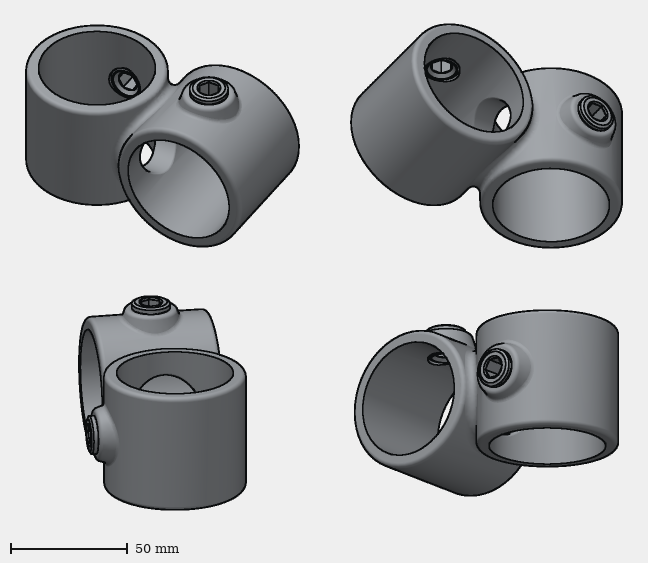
import cadquery as cq
import math

overall_length = 116.5
outer_radius = 30.5
bore_radius = 25.0
socket_length = 52.0
end_round = 2.0
joint_round = 2.9
axis_offset = overall_length / 2 - outer_radius

window_radius = 15.1
upright_mouth_round = 1.2
level_mouth_round = 0.8
fit_tolerance = 0.01

boss_top_height = 35.0
boss_top_radius = 11.1
boss_base_height = 25.6
boss_base_radius = 14.1
boss_top_round = 2.0
boss_base_round = 2.0

head_radius = 8.3
shank_radius = 7.8
screw_top_height = 37.6
screw_bottom_height = 24.8
head_chamfer_width = 1.3
head_chamfer_height = 0.7
tip_chamfer_width = 1.0
tip_chamfer_height = 0.7
hex_across_flats = 8.0
hex_lead_in_radius = 5.0
hex_lead_in_depth = 0.7
cup_rim_radius = 6.3
cup_floor_radius = 4.7
cup_depth = 1.7


def place_level(shape):
    """Move a shape built on a Y axis through the origin to the level socket."""
    return shape.translate((axis_offset, 0, 0))


def place_upright(shape):
    """Turn a shape built on a Y axis through the origin onto the upright socket."""
    return shape.rotate((0, 0, 0), (1, 0, 0), -90).translate((-axis_offset, 0, 0))


PLACEMENTS = (place_level, place_upright)


def y_cylinder(radius):
    return cq.Workplane("XZ").circle(radius).extrude(socket_length / 2, both=True)


def z_cylinder(radius, bottom, top):
    return cq.Workplane("XY").workplane(offset=bottom).circle(radius).extrude(top - bottom)


def z_cone(start_radius, start_height, end_radius, end_height):
    """Truncated cone about Z between two heights."""
    return (
        cq.Workplane("XY")
        .workplane(offset=start_height)
        .circle(start_radius)
        .workplane(offset=end_height - start_height)
        .circle(end_radius)
        .loft(ruled=True)
    )


def joined_sockets():
    """Both socket barrels, blended where they cross and rounded at their ends."""
    barrel = y_cylinder(outer_radius)
    body = place_level(barrel).union(place_upright(barrel))
    body = body.edges("%BSPLINE").fillet(joint_round)
    end_edges = [edge for edge in body.edges("%CIRCLE").vals() if edge.radius() > bore_radius]
    return body.newObject(end_edges).fillet(end_round)


def tapered_boss():
    """Cone that starts inside the socket wall and ends in a rounded flat top."""
    slope = (boss_base_radius - boss_top_radius) / (boss_top_height - boss_base_height)
    root_height = bore_radius / 2
    root_radius = boss_top_radius + slope * (boss_top_height - root_height)
    boss = z_cone(root_radius, root_height, boss_top_radius, boss_top_height)
    return boss.faces(">Z").edges().fillet(boss_top_round)


def borders_window(edge):
    """True if every sampled point of the edge lies on the window's cylinder."""
    points = edge.positions([0, 0.3, 0.7, 1])
    return all(abs(math.hypot(point.y, point.z) - window_radius) < fit_tolerance for point in points)


def build_housing():
    """Joined sockets with bosses, bores, the opening between the bores and screw holes."""
    body = joined_sockets()
    for place in PLACEMENTS:
        body = body.union(place(tapered_boss()))
    foot_edges = [
        edge
        for edge in body.edges("%BSPLINE").vals()
        if abs(abs(edge.Center().x) - axis_offset) < boss_base_radius
    ]
    body = body.newObject(foot_edges).fillet(boss_base_round)
    for place in PLACEMENTS:
        body = body.cut(place(y_cylinder(bore_radius)))
    window = cq.Workplane("YZ").circle(window_radius).extrude(axis_offset, both=True)
    body = body.cut(window)
    for side, mouth_round in ((-1, upright_mouth_round), (1, level_mouth_round)):
        mouth_edges = [
            edge for edge in body.edges("%BSPLINE").vals() if side * edge.Center().x > 0 and borders_window(edge)
        ]
        body = body.newObject(mouth_edges).fillet(mouth_round)
    for place in PLACEMENTS:
        body = body.cut(place(z_cylinder(shank_radius, 0, boss_top_height)))
    return body


def build_set_screw():
    """Headed screw with a through hexagon, a lead-in at the top and a conical cup at the tip."""
    head = z_cylinder(head_radius, boss_top_height, screw_top_height)
    shank = z_cylinder(shank_radius, screw_bottom_height, boss_top_height)
    screw = head.union(shank)
    screw = screw.faces(">Z").edges().chamfer(head_chamfer_height, head_chamfer_width)
    screw = screw.faces("<Z").edges().chamfer(tip_chamfer_height, tip_chamfer_width)
    socket = (
        cq.Workplane("XY")
        .workplane(offset=screw_bottom_height)
        .polygon(6, hex_across_flats / math.cos(math.pi / 6))
        .extrude(screw_top_height - screw_bottom_height)
    )
    lead_in = z_cone(
        hex_lead_in_radius,
        screw_top_height,
        hex_lead_in_radius - hex_lead_in_depth,
        screw_top_height - hex_lead_in_depth,
    )
    cup = z_cone(cup_rim_radius, screw_bottom_height, cup_floor_radius, screw_bottom_height + cup_depth)
    return screw.cut(socket).cut(lead_in).cut(cup)


housing = build_housing()
set_screws = [place(build_set_screw()) for place in PLACEMENTS]

result = cq.Compound.makeCompound([housing.val(), *[screw.val() for screw in set_screws]])